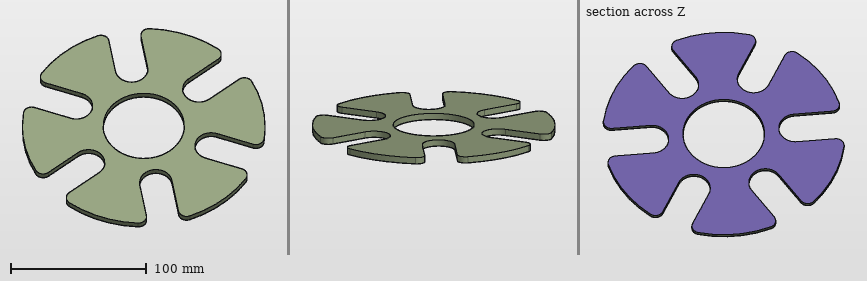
import cadquery as cq

outer_diameter = 178.8
thickness = 4.8
bore_diameter = 59.7
slot_count = 6
slot_width = 24.0
slot_end_distance = 53.0
corner_radius = 6.0

outer_radius = outer_diameter / 2
slot_angle = 360 / slot_count


def make_disc():
    """Flat ring centred on the origin."""
    return (
        cq.Workplane("XY")
        .circle(outer_radius)
        .circle(bore_diameter / 2)
        .extrude(thickness)
    )


def make_slot(angle):
    """Round-ended cutter that runs radially out past the rim."""
    slot_length = outer_diameter
    slot_middle = slot_end_distance + (slot_length - slot_width) / 2
    return (
        cq.Workplane("XY")
        .center(slot_middle, 0)
        .slot2D(slot_length, slot_width)
        .extrude(thickness)
        .rotate((0, 0, 0), (0, 0, 1), angle)
    )


plate = make_disc()
for index in range(slot_count):
    plate = plate.cut(make_slot(90 + index * slot_angle))

tip_radius_limit = (slot_end_distance + outer_radius) / 2
tip_edges = [
    edge
    for edge in plate.edges("|Z").vals()
    if cq.Vector(edge.Center().x, edge.Center().y, 0).Length > tip_radius_limit
]
result = plate.newObject(tip_edges).fillet(corner_radius)